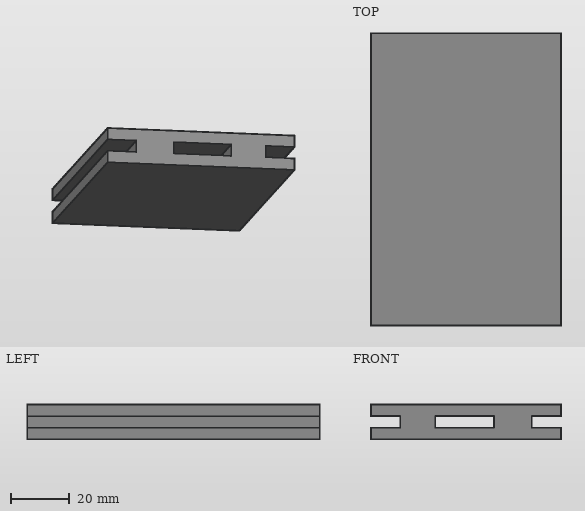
import cadquery as cq

width = 65.0
length = 100.0
plate_thickness = 4.0
gap_height = 4.0
side_slot_depth = 10.0
window_width = 20.0
left_web_width = 12.0

height = 2 * plate_thickness + gap_height
left_edge = -width / 2
right_edge = width / 2
window_left = left_edge + side_slot_depth + left_web_width


def channel(x_start, channel_width):
    """Cutter for a mid-height channel running the full length along Y."""
    return cq.Workplane("XY").box(channel_width, length, gap_height).translate(
        (x_start + channel_width / 2, 0, 0)
    )


result = cq.Workplane("XY").box(width, length, height)

result = result.cut(channel(left_edge, side_slot_depth))
result = result.cut(channel(right_edge - side_slot_depth, side_slot_depth))

result = result.cut(channel(window_left, window_width))